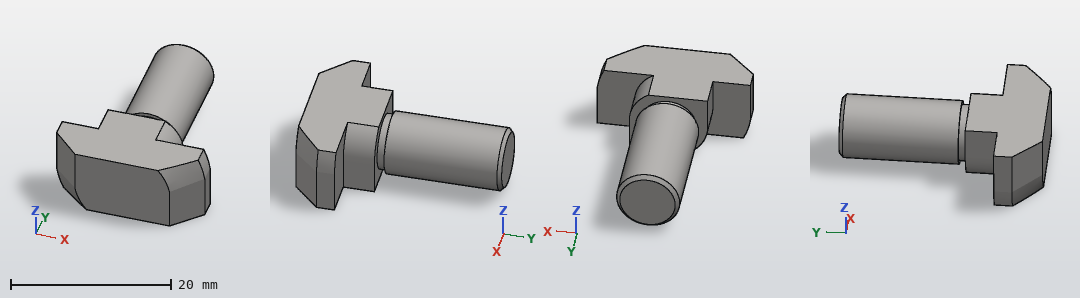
import cadquery as cq

total_length = 25.8
head_width = 19.4
head_height = 8.5
head_length = 5.8
head_chamfer = 3.5
head_turning_radius = 9.8
neck_width = 9.9
neck_length = 4.0
groove_length = 1.0
groove_diameter = 7.07
shank_diameter = 8.0
shank_chamfer = 0.5

neck_start = head_length
groove_start = neck_start + neck_length
shank_start = groove_start + groove_length
shank_length = total_length - shank_start


def cylinder(radius, start, length):
    """Cylinder on the bolt axis, running from start towards +Y."""
    return cq.Workplane("XZ", origin=(0, start, 0)).circle(radius).extrude(-length)


def box(width, start, length):
    """Block of the head's height, centred on the bolt axis."""
    block = cq.Workplane("XY").box(width, length, head_height, centered=(True, False, True))
    return block.translate((0, start, 0))


def round_opposite_corners(block, turned, start, length):
    """Keep the turned shape in the +X+Z and -X-Z quadrants and the block in the others."""
    quadrant = cq.Workplane("XY").box(
        head_width, length, head_height, centered=(False, False, False)
    ).translate((0, start, 0))
    opposite = quadrant.rotate((0, 0, 0), (0, 1, 0), 180)
    rounded_quadrants = quadrant.union(opposite)
    return block.cut(rounded_quadrants.cut(turned))


head_block = box(head_width, 0, head_length).faces("<Y").edges("|Z").chamfer(head_chamfer)
head_turned = cylinder(head_turning_radius, 0, head_length).faces("<Y").edges().chamfer(head_chamfer)
head = round_opposite_corners(head_block, head_turned, 0, head_length)

neck_block = box(neck_width, neck_start, neck_length)
neck_turned = cylinder(neck_width / 2, neck_start, neck_length)
neck = round_opposite_corners(neck_block, neck_turned, neck_start, neck_length)

groove = cylinder(groove_diameter / 2, groove_start, groove_length)
shank = cylinder(shank_diameter / 2, shank_start, shank_length).faces(">Y").edges().chamfer(shank_chamfer)

result = head.union(neck).union(groove).union(shank)